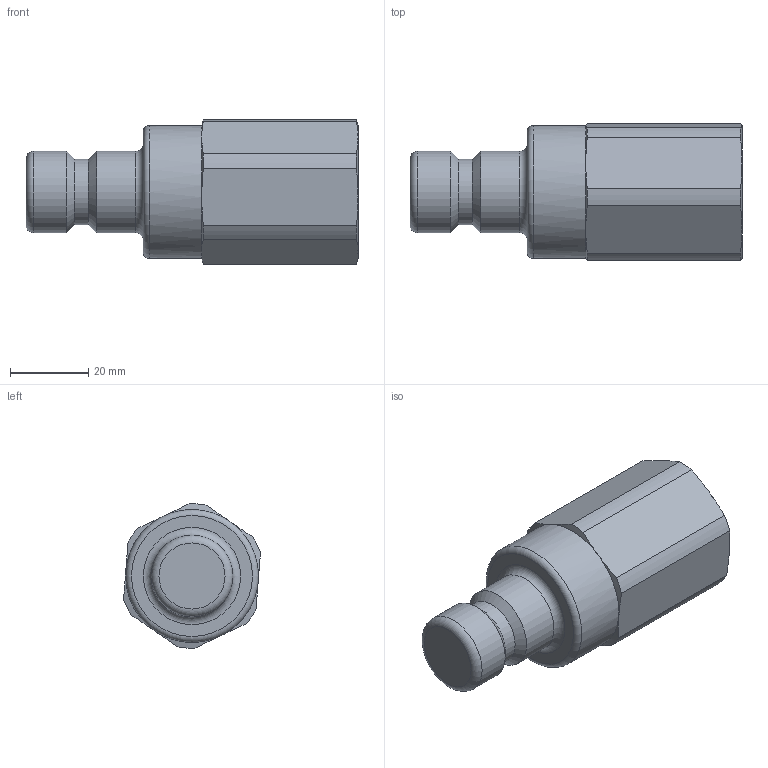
import cadquery as cq
import math

nose_radius = 20.9 / 2
tip_fillet = 2.0
groove_radius = 16.8 / 2
groove_start = 10.35
groove_floor_length = 3.6
groove_depth = nose_radius - groove_radius
groove_floor_start = groove_start + groove_depth
groove_floor_end = groove_floor_start + groove_floor_length
groove_end = groove_floor_end + groove_depth
root_fillet = 2.0

collar_start = 30.0
collar_radius = 34.0 / 2
collar_fillet = 1.5

hex_start = 45.0
hex_end = 85.0
hex_sides = 6
hex_across_flats = 34.0
hex_corner_radius = 37.0 / 2
hex_turn = 4.47
hex_length = hex_end - hex_start
hex_face_radius = hex_across_flats / 2
chamfer_angle = 15.0
chamfer_length = (hex_corner_radius - hex_face_radius) * math.tan(math.radians(chamfer_angle))


def revolve_about_x(profile):
    return profile.close().revolve(360, (0, 0, 0), (1, 0, 0))


def quarter_arc_middle(center_x, center_r, radius, x_sign, r_sign):
    """Midpoint of a 90 degree fillet arc, on the given side of its centre."""
    reach = radius * math.sqrt(0.5)
    return (center_x + x_sign * reach, center_r + r_sign * reach)


def make_turned_part():
    """Grooved nose and round collar, from the tip to the start of the hexagon."""
    tip_middle = quarter_arc_middle(tip_fillet, nose_radius - tip_fillet, tip_fillet, -1, 1)
    root_middle = quarter_arc_middle(
        collar_start - root_fillet, nose_radius + root_fillet, root_fillet, 1, -1
    )
    collar_middle = quarter_arc_middle(
        collar_start + collar_fillet, collar_radius - collar_fillet, collar_fillet, -1, 1
    )
    profile = (
        cq.Workplane("XY")
        .moveTo(0, 0)
        .lineTo(0, nose_radius - tip_fillet)
        .threePointArc(tip_middle, (tip_fillet, nose_radius))
        .lineTo(groove_start, nose_radius)
        .lineTo(groove_floor_start, groove_radius)
        .lineTo(groove_floor_end, groove_radius)
        .lineTo(groove_end, nose_radius)
        .lineTo(collar_start - root_fillet, nose_radius)
        .threePointArc(root_middle, (collar_start, nose_radius + root_fillet))
        .lineTo(collar_start, collar_radius - collar_fillet)
        .threePointArc(collar_middle, (collar_start + collar_fillet, collar_radius))
        .lineTo(hex_start, collar_radius)
        .lineTo(hex_start, 0)
    )
    return revolve_about_x(profile)


def make_hex_body():
    """Hexagonal bar with turned corners and both ends chamfered."""
    sharp_corner_diameter = hex_across_flats / math.cos(math.pi / hex_sides)
    hex_bar = (
        cq.Workplane("YZ", origin=(hex_start, 0, 0))
        .transformed(rotate=(0, 0, 90 + hex_turn))
        .polygon(hex_sides, sharp_corner_diameter)
        .extrude(hex_length)
    )
    turned_envelope = revolve_about_x(
        cq.Workplane("XY")
        .moveTo(hex_start, 0)
        .lineTo(hex_start, hex_face_radius)
        .lineTo(hex_start + chamfer_length, hex_corner_radius)
        .lineTo(hex_end - chamfer_length, hex_corner_radius)
        .lineTo(hex_end, hex_face_radius)
        .lineTo(hex_end, 0)
    )
    return hex_bar.intersect(turned_envelope)


result = make_turned_part().union(make_hex_body())